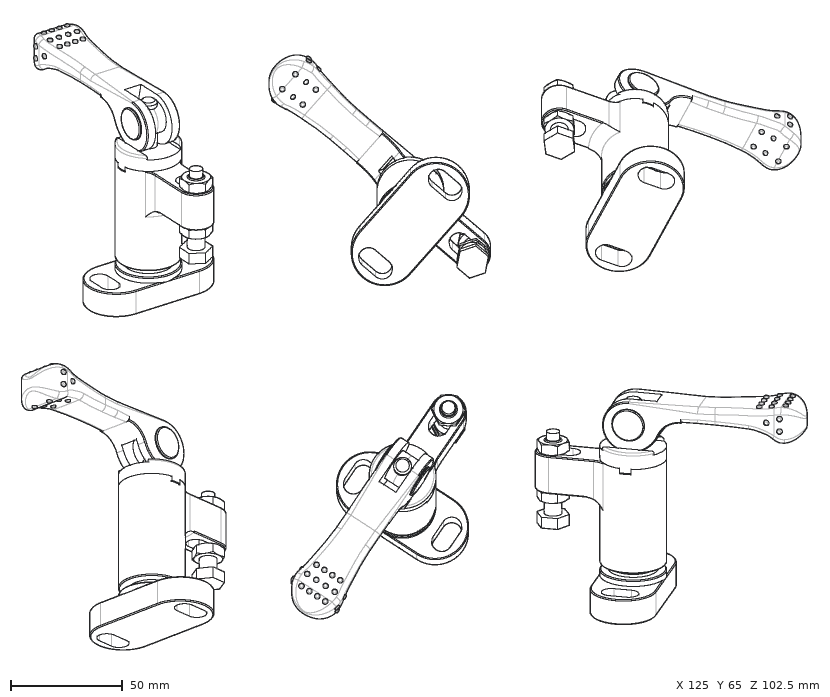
import cadquery as cq
import math


body_radius = 15.0
edge_break = 0.5

plate_length = 65.0
plate_height = 12.0
plate_slot_length = 17.0
slot_width = 9.0
plate_slot_offset = 23.8
flange_top = 14.9
post_radius = 10.1
post_root_chamfer = 1.0
rod_radius = 4.0
rod_top = 96.2
rod_chamfer = 1.0
pin_height = 87.0
pin_radius = 7.5
pin_length = 20.0

sleeve_bottom = 18.0
sleeve_top = 68.0
arm_bottom = 50.0
arm_half_width = 8.0
arm_end = 45.0
arm_side_fillet = 8.0
arm_under_fillet = 6.0
blend_sink = 0.1
arm_slot_start = 24.5

cap_top = 75.5
cap_groove_floor = 73.8
cap_rounding = 1.0
key_width = 5.2
key_depth = 2.0
key_clearance = 0.5

lever_width = 18.0
fork_gap = 9.0
fork_gap_start = -12.1
fork_gap_lower_start = -17.5
hub_radius = 12.0
shank_bottom = 89.9
shank_start = -32.0
shank_rounding = 2.5
hub_edge = 0.5
neck_radius = 11.2
cam_radius = 15.0
knob_end = -80.0
knob_radius = 11.9
knob_top = (-70.5, 102.0)
knob_bottom = (-71.8, 85.0)
nose_radius = 10.0
nose_overhang = 0.2
taper_start = -40.0

button_radius = 1.2
button_height = 0.6
button_rounding = 0.5
button_root = 1.9
button_rows = [
    (-72.0, 101.9, 85.0, 2.1, 6.4),
    (-65.9, 101.2, 87.8, 2.5, 7.4),
    (-59.9, 100.2, 89.4, 2.1, 6.4),
]
bottom_button_y = 4.5
side_buttons = [(-70.5, 11.9, 97.5), (-70.5, 11.9, 91.5), (-64.4, 11.5, 95.0)]

hex_across_flats = 13.0
screw_radius = 4.0
screw_bottom = 32.8
screw_head_height = 5.2
screw_shank_top = 73.5
screw_shank_chamfer = 0.5
tip_radius = 3.0
tip_edge_height = 77.1
tip_height = 77.9
nut_height = 5.0

arm_tip_x = arm_end - arm_half_width
blend_root_radius = body_radius - blend_sink
hub_z = cap_groove_floor + hub_radius
shank_top = hub_z + hub_radius
knob_center_x = knob_end + knob_radius
dome_height = tip_height - tip_edge_height
dome_radius = (tip_radius**2 + dome_height**2) / (2 * dome_height)
nose_x = knob_end - nose_overhang
nose_top = knob_top[1] - nose_radius + math.sqrt(nose_radius**2 - (knob_top[0] - nose_x) ** 2)
nose_bottom = knob_bottom[1] + nose_radius - math.sqrt(nose_radius**2 - (knob_bottom[0] - nose_x) ** 2)


def cylinder(radius, bottom, top):
    """Upright cylinder on the Z axis."""
    return cq.Workplane("XY").workplane(offset=bottom).circle(radius).extrude(top - bottom)


def make_base():
    plate = cq.Workplane("XY").slot2D(plate_length, 2 * body_radius, 90).extrude(plate_height)
    plate = plate.faces("<Z or >Z").edges().chamfer(edge_break)
    plate_slots = (
        cq.Workplane("XY")
        .pushPoints([(0, -plate_slot_offset), (0, plate_slot_offset)])
        .slot2D(plate_slot_length, slot_width)
        .extrude(plate_height)
    )
    flange = cylinder(body_radius, plate_height - edge_break, flange_top).faces(">Z").chamfer(edge_break)
    post = cylinder(post_radius, plate_height, sleeve_top)
    post_root = (
        cylinder(post_radius + post_root_chamfer, flange_top, flange_top + post_root_chamfer)
        .faces(">Z")
        .chamfer(0.99 * post_root_chamfer)
    )
    rod = cylinder(rod_radius, sleeve_top, rod_top).faces(">Z").chamfer(rod_chamfer)
    pin = (
        cq.Workplane("XZ", origin=(0, 0, pin_height))
        .circle(pin_radius)
        .extrude(pin_length / 2, both=True)
        .faces("<Y or >Y")
        .chamfer(edge_break)
    )
    return plate.cut(plate_slots).union(flange).union(post_root).union(post).union(rod).union(pin)


def arm_prism(bottom, top):
    """Arm outline, whose sides blend into the sleeve, as an upright prism."""
    blend_y = arm_half_width + arm_side_fillet
    blend_reach = blend_root_radius + arm_side_fillet
    blend_x = math.sqrt(blend_reach**2 - blend_y**2)
    root_x = blend_x * blend_root_radius / blend_reach
    root_y = blend_y * blend_root_radius / blend_reach
    tip_mid = arm_half_width * math.sqrt(0.5)
    return (
        cq.Workplane("XY", origin=(0, 0, bottom))
        .moveTo(arm_end, 0)
        .threePointArc((arm_tip_x + tip_mid, tip_mid), (arm_tip_x, arm_half_width))
        .lineTo(blend_x, arm_half_width)
        .tangentArcPoint((root_x, root_y), relative=False)
        .lineTo(0, root_y)
        .lineTo(0, 0)
        .mirrorX()
        .extrude(top - bottom)
    )


def make_arm_beam():
    beam = arm_prism(arm_bottom, sleeve_top)
    outer_stretch = cq.selectors.BoxSelector(
        (body_radius, -body_radius, arm_bottom - edge_break),
        (arm_end + arm_half_width, body_radius, sleeve_top + edge_break),
    )
    return beam.faces("<Z or >Z").edges(outer_stretch).chamfer(edge_break)


def make_arm_gusset():
    """Concave blend from the sleeve up to the underside of the arm."""
    gusset_bottom = arm_bottom - arm_under_fillet
    gusset_top = arm_bottom + edge_break
    rim = blend_root_radius + arm_under_fillet
    blend = (
        cq.Workplane("XZ")
        .moveTo(0, gusset_bottom)
        .lineTo(blend_root_radius, gusset_bottom)
        .radiusArc((rim, arm_bottom), arm_under_fillet)
        .lineTo(rim, gusset_top)
        .lineTo(0, gusset_top)
        .close()
        .revolve(360, (0, 0, 0), (0, 1, 0))
    )
    return arm_prism(gusset_bottom, gusset_top).intersect(blend)


def make_swivel_arm():
    sleeve = cylinder(body_radius, sleeve_bottom, sleeve_top).faces("<Z").chamfer(edge_break)
    slot_length = arm_tip_x + slot_width / 2 - arm_slot_start
    arm_slot = (
        cq.Workplane("XY", origin=(arm_slot_start + slot_length / 2, 0, arm_bottom))
        .slot2D(slot_length, slot_width)
        .extrude(sleeve_top - arm_bottom)
    )
    bore = cylinder(post_radius, sleeve_bottom, sleeve_top)
    key_slot_depth = key_depth + key_clearance
    key_slot = cq.Workplane("XY", origin=(0, 0, sleeve_top - key_slot_depth / 2)).box(
        key_width, 2 * body_radius, key_slot_depth
    )
    arm = sleeve.union(make_arm_beam()).union(make_arm_gusset())
    return arm.cut(arm_slot).cut(bore).cut(key_slot)


def make_cap():
    disc = cylinder(body_radius, sleeve_top, cap_top).faces(">Z").edges().fillet(cap_rounding)
    groove = cq.Workplane("XY", origin=(0, 0, cap_top)).box(
        2 * body_radius, lever_width, 2 * (cap_top - cap_groove_floor)
    )
    sleeve_wall = cylinder(body_radius, sleeve_top - key_depth, sleeve_top).cut(
        cylinder(post_radius, sleeve_top - key_depth, sleeve_top)
    )
    keys = (
        cq.Workplane("XY", origin=(0, 0, sleeve_top - key_depth / 2))
        .box(key_width, 2 * body_radius, key_depth)
        .intersect(sleeve_wall)
    )
    rod_hole = cylinder(rod_radius, sleeve_top, cap_top)
    return disc.cut(groove).union(keys).cut(rod_hole)


def make_handle():
    """Knob and the shank next to it, with all long edges rounded."""
    profile = (
        cq.Workplane("XZ", origin=(0, lever_width, 0))
        .moveTo(shank_start, shank_bottom)
        .lineTo(shank_start, shank_top)
        .spline(
            [(-48.4, 99.0), (-65.4, 101.0), knob_top],
            tangents=[(-1, 0), (-1, 0)],
            includeCurrent=True,
        )
        .radiusArc((nose_x, nose_top), -nose_radius)
        .lineTo(nose_x, nose_bottom)
        .radiusArc(knob_bottom, -nose_radius)
        .spline(
            [(-65.4, 87.9), (-61.5, 89.0), (-56.0, shank_bottom)],
            tangents=[(1, 0), (1, 0)],
            includeCurrent=True,
        )
        .close()
        .extrude(2 * lever_width)
    )
    plan = (
        cq.Workplane("XY", origin=(0, 0, knob_bottom[1]))
        .moveTo(knob_end, 0)
        .threePointArc(
            (knob_center_x - knob_radius * math.sqrt(0.5), knob_radius * math.sqrt(0.5)),
            (knob_center_x, knob_radius),
        )
        .spline(
            [(-63.1, 11.1), (-57.4, 10.4), (-49.4, 9.5), (taper_start, lever_width / 2)],
            tangents=[(1, 0), (1, 0)],
            includeCurrent=True,
        )
        .lineTo(shank_start, lever_width / 2)
        .lineTo(shank_start, 0)
        .mirrorX()
        .extrude(knob_top[1] - knob_bottom[1])
    )
    handle = profile.intersect(plan)
    return handle.edges("not (|Y or |Z)").fillet(shank_rounding)


def rounded_section(distance, rounding):
    """Rounded rectangle across the shank, a given distance from its start."""
    height = shank_top - shank_bottom
    section = cq.Sketch().rect(lever_width, height).vertices().fillet(rounding)
    return section.moved(cq.Location(cq.Vector(0, 0, distance)))


def make_hub():
    """Cam disc with the neck that sweeps up into the underside of the shank."""
    neck_z = shank_bottom - neck_radius
    cam_z = cap_groove_floor + cam_radius
    reach = neck_radius + cam_radius
    neck_x = -math.sqrt(reach**2 - (cam_z - neck_z) ** 2)
    cam_start = (
        neck_x * cam_radius / reach,
        cam_z + (neck_z - cam_z) * cam_radius / reach,
    )
    neck_top = shank_bottom + shank_rounding
    outline = (
        cq.Workplane("XZ", origin=(0, lever_width / 2, 0))
        .moveTo(neck_x, shank_bottom)
        .radiusArc(cam_start, neck_radius)
        .radiusArc((0, cap_groove_floor), -cam_radius)
        .threePointArc((hub_radius, hub_z), (0, shank_top))
        .lineTo(0, neck_top)
        .lineTo(neck_x, neck_top)
        .close()
        .extrude(lever_width)
    )
    return outline.faces("<Y or >Y").edges("%CIRCLE").chamfer(hub_edge)


def make_shank():
    """Middle of the lever, whose long edges sharpen toward the hub."""
    sections = [
        rounded_section(0, shank_rounding),
        rounded_section(-shank_start, hub_edge),
    ]
    center_z = (shank_top + shank_bottom) / 2
    return cq.Workplane("YZ", origin=(shank_start, 0, center_z)).placeSketch(*sections).loft(ruled=True)


def grip_button(place, outward):
    """Rounded button centred on a point of the knob surface and facing outward."""
    base = cq.Plane(origin=place, xDir=(1, 0, 0), normal=outward)
    return (
        cq.Workplane(base)
        .workplane(offset=-button_root)
        .circle(button_radius)
        .extrude(button_root + button_height)
        .faces(cq.selectors.DirectionMinMaxSelector(cq.Vector(*outward)))
        .edges()
        .fillet(button_rounding)
    )


def add_grip_buttons(lever):
    for x, top_z, bottom_z, inner_y, outer_y in button_rows:
        for y in (-outer_y, -inner_y, inner_y, outer_y):
            lever = lever.union(grip_button((x, y, top_z), (0, 0, 1)))
        for y in (-bottom_button_y, bottom_button_y):
            lever = lever.union(grip_button((x, y, bottom_z), (0, 0, -1)))
    for x, half_width, z in side_buttons:
        for side in (-1, 1):
            lever = lever.union(grip_button((x, side * half_width, z), (0, side, 0)))
    return lever


def make_lever():
    lever = make_handle().union(make_shank()).union(make_hub())
    lever = add_grip_buttons(lever)
    fork_opening = (
        cq.Workplane("XZ", origin=(0, fork_gap / 2, 0))
        .moveTo(fork_gap_start, shank_top)
        .lineTo(hub_radius, shank_top)
        .lineTo(hub_radius, cap_groove_floor)
        .lineTo(fork_gap_lower_start, cap_groove_floor)
        .close()
        .extrude(fork_gap)
    )
    pin_hole = cq.Workplane("XZ", origin=(0, 0, pin_height)).circle(pin_radius).extrude(lever_width, both=True)
    return lever.cut(fork_opening).cut(pin_hole)


def hexagon(bottom, height):
    """Hexagonal prism with corners pointing along X."""
    across_corners = hex_across_flats / math.cos(math.pi / 6)
    return cq.Workplane("XY", origin=(arm_tip_x, 0, bottom)).polygon(6, across_corners).extrude(height)


def make_screw():
    head_top = screw_bottom + screw_head_height
    shank = (
        cq.Workplane("XZ", origin=(arm_tip_x, 0, 0))
        .moveTo(0, head_top)
        .lineTo(screw_radius, head_top)
        .lineTo(screw_radius, screw_shank_top - screw_shank_chamfer)
        .lineTo(screw_radius - screw_shank_chamfer, screw_shank_top)
        .lineTo(tip_radius, screw_shank_top)
        .lineTo(tip_radius, tip_edge_height)
        .radiusArc((0, tip_height), -dome_radius)
        .close()
        .revolve(360, (0, 0, 0), (0, 1, 0))
    )
    return hexagon(screw_bottom, screw_head_height).union(shank)


def make_nut(bottom):
    corner_drop = (hex_across_flats / math.cos(math.pi / 6) - hex_across_flats) / 2 * math.tan(math.pi / 6)
    bevel_width = corner_drop / math.tan(math.pi / 6)
    bevelled_disc = (
        cq.Workplane("XY", origin=(arm_tip_x, 0, bottom))
        .circle(hex_across_flats / 2 + bevel_width)
        .extrude(nut_height)
        .faces("<Z or >Z")
        .edges()
        .chamfer(corner_drop, bevel_width)
    )
    thread_hole = cq.Workplane("XY", origin=(arm_tip_x, 0, bottom)).circle(screw_radius).extrude(nut_height)
    return hexagon(bottom, nut_height).intersect(bevelled_disc).cut(thread_hole)


base = make_base()
swivel_arm = make_swivel_arm()
cap = make_cap()
lever = make_lever()
screw = make_screw()
nuts = [make_nut(bottom) for bottom in (arm_bottom - nut_height, sleeve_top)]

result = cq.Compound.makeCompound(
    [base.val(), swivel_arm.val(), cap.val(), lever.val(), screw.val(), *[nut.val() for nut in nuts]]
)